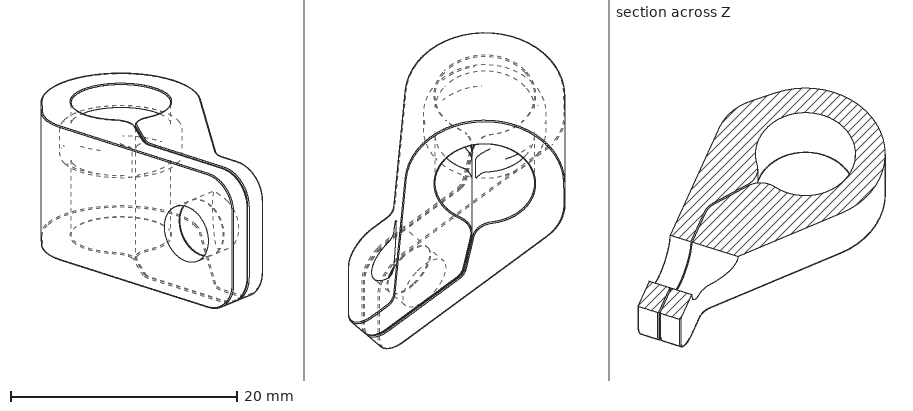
import cadquery as cq
import math

length = 27.48
width = 15.2
height = 12.7

ring_radius = 7.05
bore_radius = 4.4
heel_radius = 4.95

ear_stack = 4.05
web_angle = 42.5
ear_corner_radius = 3.0

slit_gap = 0.1
slit_angle = 36.3
blend_radius = 2.0

bolt_diameter = 5.2
bolt_to_end = 5.5

groove_top_depth = 2.05
groove_width = 3.45
groove_depth = 1.02
groove_fillet = 0.3

edge_chamfer = 0.1

x_end = length - ring_radius
y_front = ring_radius - width
y_ear_back = y_front + ear_stack
y_slit = y_front + ear_stack / 2


def polar(radius, angle):
    """Point at a radius and an angle in degrees about the bore axis."""
    return (radius * math.cos(math.radians(angle)), radius * math.sin(math.radians(angle)))


def tangent_x_at(angle, y):
    """X where the tangent to the ring at an angle reaches a given Y."""
    normal_x, normal_y = polar(1, angle)
    return (ring_radius - y * normal_y) / normal_x


def vertical_edge_at(x, y):
    """Selector for the upright edge nearest to a point in plan."""
    return cq.selectors.NearestToPointSelector((x, y, 0))


def make_outline():
    """Teardrop body: round ring, sloped heel, flat front, ears and sloped web."""
    web_contact = 90 - web_angle
    heel_contact = 180 + web_angle
    heel_corner = (tangent_x_at(heel_contact, y_front), y_front)
    web_corner = (tangent_x_at(web_contact, y_ear_back), y_ear_back)
    body = (
        cq.Workplane("XY", origin=(0, 0, -height / 2))
        .moveTo(*polar(ring_radius, web_contact))
        .threePointArc(polar(ring_radius, (web_contact + heel_contact) / 2), polar(ring_radius, heel_contact))
        .lineTo(*heel_corner)
        .lineTo(x_end, y_front)
        .lineTo(x_end, y_ear_back)
        .lineTo(*web_corner)
        .close()
        .extrude(height)
    )
    body = body.edges(vertical_edge_at(*heel_corner)).fillet(heel_radius)
    body = body.edges(vertical_edge_at(*web_corner)).fillet(blend_radius)
    return body.faces(">X").edges("|Y").fillet(ear_corner_radius)


def cut_bore_and_slit(body):
    """Bore and slit, with the slit rounded at its knee and at its mouth."""
    slope = math.radians(slit_angle)
    half_gap = slit_gap / 2
    knee_x = -y_slit / math.tan(slope)
    knee_shift = half_gap * math.tan(slope / 2)
    back_knee = (knee_x + knee_shift, y_slit + half_gap)
    front_knee = (knee_x - knee_shift, y_slit - half_gap)
    offset_x = half_gap * math.sin(slope)
    offset_y = half_gap * math.cos(slope)
    slit = (
        cq.Workplane("XY", origin=(0, 0, -height / 2))
        .polyline([
            (offset_x, offset_y),
            back_knee,
            (length, y_slit + half_gap),
            (length, y_slit - half_gap),
            front_knee,
            (-offset_x, -offset_y),
        ])
        .close()
        .extrude(height)
    )
    bore = cq.Workplane("XY", origin=(0, 0, -height / 2)).circle(bore_radius).extrude(height)
    body = body.cut(bore.union(slit))

    mouth_half_angle = math.degrees(math.asin(half_gap / bore_radius))
    for side in (1, -1):
        mouth = polar(bore_radius, -slit_angle + side * mouth_half_angle)
        body = body.edges(vertical_edge_at(*mouth)).fillet(blend_radius)
    for knee in (back_knee, front_knee):
        body = body.edges(vertical_edge_at(*knee)).fillet(blend_radius)
    return body


def make_groove():
    """Ring-shaped cutter with rounded mouth edges and rounded floor corners."""
    top = height / 2 - groove_top_depth
    bottom = top - groove_width
    outer = bore_radius + groove_depth
    r = groove_fillet
    return (
        cq.Workplane("XZ")
        .moveTo(0, bottom)
        .lineTo(bore_radius, bottom)
        .radiusArc((bore_radius + r, bottom + r), r)
        .lineTo(outer - r, bottom + r)
        .radiusArc((outer, bottom + 2 * r), -r)
        .lineTo(outer, top - 2 * r)
        .radiusArc((outer - r, top - r), -r)
        .lineTo(bore_radius + r, top - r)
        .radiusArc((bore_radius, top), r)
        .lineTo(0, top)
        .close()
        .revolve(360, (0, 0, 0), (0, 1, 0))
    )


def make_bolt_hole():
    """Cutter along Y through the foot of the web and both ears."""
    return (
        cq.Workplane("XZ", origin=(x_end - bolt_to_end, ring_radius, 0))
        .circle(bolt_diameter / 2)
        .extrude(width)
    )


result = cut_bore_and_slit(make_outline())
result = result.faces("<Z or >Z or >X").edges("not |Y").chamfer(edge_chamfer)
result = result.cut(make_groove()).cut(make_bolt_hole())